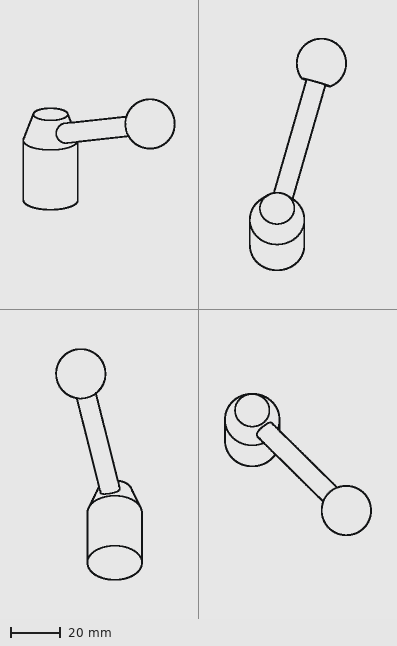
import cadquery as cq
import math

length = 81.6
height = 60.1
hub_diameter = 22.0
hub_top_diameter = 13.9
hub_straight_height = 25.8
hub_height = 37.0
ball_diameter = 20.0
ball_flat_diameter = 12.1
rod_diameter = 8.0
rod_angle = 20.0

hub_radius = hub_diameter / 2
ball_radius = ball_diameter / 2
ball_x = length - hub_radius - ball_radius
ball_z = height - ball_radius
flat_distance = math.sqrt(ball_radius**2 - (ball_flat_diameter / 2) ** 2)
rod_length = ball_x / math.cos(math.radians(rod_angle))
rod_start_z = ball_z - ball_x * math.tan(math.radians(rod_angle))


def make_hub():
    """Cylindrical hub with a conical top."""
    return (
        cq.Workplane("XZ")
        .polyline([
            (0, 0),
            (hub_radius, 0),
            (hub_radius, hub_straight_height),
            (hub_top_diameter / 2, hub_height),
            (0, hub_height),
        ])
        .close()
        .revolve(360, (0, 0), (0, 1))
    )


def make_lever():
    """Rod from the hub axis to the ball center, with a flat on the ball facing the rod."""
    rod = cq.Workplane("YZ").circle(rod_diameter / 2).extrude(rod_length)
    ball = (
        cq.Workplane("XY")
        .moveTo(-flat_distance, 0)
        .lineTo(-flat_distance, ball_flat_diameter / 2)
        .threePointArc((0, ball_radius), (ball_radius, 0))
        .close()
        .revolve(360, (0, 0), (1, 0))
        .translate((rod_length, 0, 0))
    )
    return (
        rod.union(ball)
        .rotate((0, 0, 0), (0, 1, 0), -rod_angle)
        .translate((0, 0, rod_start_z))
    )


result = make_hub().union(make_lever())